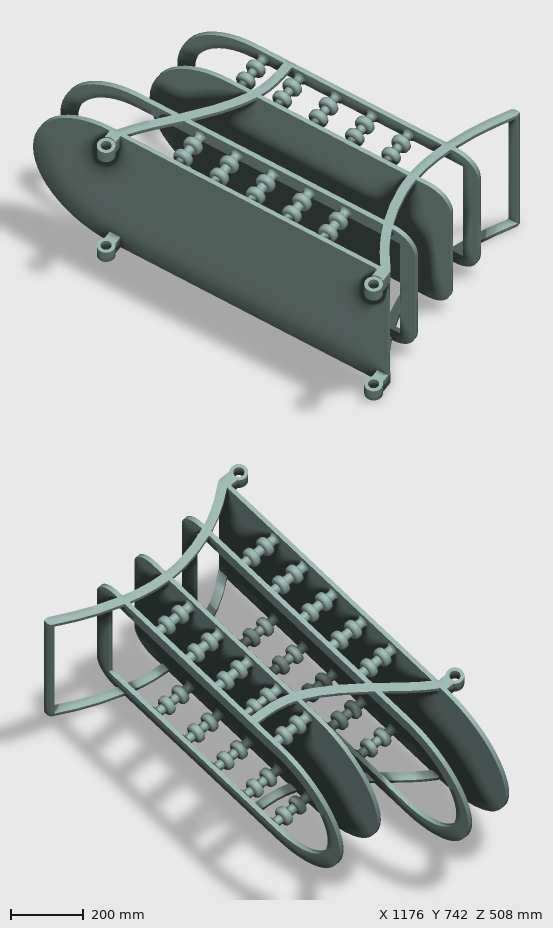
import cadquery as cq
import math

shelf_width = 508.0
nose_radius = shelf_width / 2
mid_z = nose_radius
shelf_end_x = 1167.0
handle_top_y = 742.0

plate_thickness = 13.0
rail_thickness = 14.0
rail_band = 49.0
tail_radius = 75.0
lower_nose_x = 0
upper_nose_x = 178.0
lower_plate_y = 72.0
lower_rail_y = 210.0
upper_plate_y = 389.0
upper_rail_y = 529.0

spindle_count = 5
spindle_first_x = 461.0
spindle_last_x = 938.0
spindle_pitch = (spindle_last_x - spindle_first_x) / (spindle_count - 1)
spindle_edge_inset = 32.0
spindle_length = 128.0
shaft_radius = 14.0
foot_fillet = 10.0
bead_radius = 28.0
bead_height = 26.0
bead_fillet = 9.0
bead_spacing = 50.0

strip_width = 27.0
strip_thickness = 13.0
handle_bar_depth = 13.0
handle_tip_fillet = 14.0
front_leg_path = [(280.0, 80.0), (406.0, 232.0), (507.0, 373.0), (541.0, 535.0)]
rear_leg_path = [
    (1161.0, 73.0),
    (1100.0, 161.0),
    (1068.0, 232.0),
    (1040.0, 388.0),
    (1067.0, 541.0),
    (1110.0, 650.0),
    (1169.0, 762.0),
]
front_leg_tangents = [(0.65, 1), (0, 1)]
rear_leg_tangents = [(-0.8, 1), (0.5, 1)]

stem_width = 35.0
stem_height = 47.0
ring_outer_radius = 26.0
ring_inner_radius = 15.0
ring_recess = 5.0
neck_web = 1.0
caster_xs = (270.0, 1150.0)
stem_bottom_y = 2 * ring_outer_radius + neck_web
stem_top_y = lower_plate_y + plate_thickness
lower_stem_z = (0, stem_height)
upper_stem_z = (shelf_width - stem_height, shelf_width)
lower_ring_z = (ring_recess, stem_height)
upper_ring_z = (shelf_width - stem_height, shelf_width - ring_recess)
caster_z_ranges = [(lower_stem_z, lower_ring_z), (upper_stem_z, upper_ring_z)]


def box(x_range, y_range, z_range):
    """Axis-aligned box from its limits."""
    lows, highs = zip(x_range, y_range, z_range)
    size = [high - low for low, high in zip(lows, highs)]
    return cq.Workplane("XY").box(*size, centered=False).translate(lows)


def nosed_slab(nose_x, end_x, radius, y_range):
    """Slab with a half-round nose at the -X end and a square +X end."""
    y_low, y_high = y_range
    centre_x = nose_x + radius
    outline = (
        cq.Workplane("XZ", origin=(0, y_high, 0))
        .moveTo(end_x, mid_z - radius)
        .lineTo(centre_x, mid_z - radius)
        .threePointArc((nose_x, mid_z), (centre_x, mid_z + radius))
        .lineTo(end_x, mid_z + radius)
        .close()
    )
    return outline.extrude(y_high - y_low)


def plate(nose_x, y_low):
    """Solid shelf plate."""
    return nosed_slab(nose_x, shelf_end_x, nose_radius, (y_low, y_low + plate_thickness))


def round_tail(slab):
    """Round the two corners at the +X end of a slab."""
    return slab.faces(">X").edges("|Y").fillet(tail_radius)


def rail(nose_x, y_low):
    """Rail with rounded tail corners and an opening that leaves a band all round."""
    y_range = (y_low, y_low + rail_thickness)
    slab = round_tail(nosed_slab(nose_x, shelf_end_x, nose_radius, y_range))
    opening = nosed_slab(nose_x + rail_band, shelf_end_x - rail_band, nose_radius - rail_band, y_range)
    return slab.cut(opening)


def spindle():
    """Spindle along Y, centred on the origin, with two beads and flared ends."""
    half = spindle_length / 2
    flare_radius = shaft_radius + foot_fillet
    flare_start = half - foot_fillet
    flare_mid_x = flare_radius - foot_fillet * math.sqrt(0.5)
    flare_mid_y = flare_start + foot_fillet * math.sqrt(0.5)
    body = (
        cq.Workplane("XY")
        .moveTo(0, -half)
        .lineTo(flare_radius, -half)
        .threePointArc((flare_mid_x, -flare_mid_y), (shaft_radius, -flare_start))
        .lineTo(shaft_radius, flare_start)
        .threePointArc((flare_mid_x, flare_mid_y), (flare_radius, half))
        .lineTo(0, half)
        .close()
        .revolve(360, (0, 0, 0), (0, 1, 0))
    )
    for bead_y in (-bead_spacing / 2, bead_spacing / 2):
        bead = cq.Workplane("XZ").circle(bead_radius).extrude(bead_height / 2, both=True)
        body = body.union(bead.edges().fillet(bead_fillet).translate((0, bead_y, 0)))
    return body


def spindle_row(plate_y, rail_y):
    """Both rows of spindles between a plate and its rail, as a list."""
    gap_mid_y = (plate_y + plate_thickness + rail_y) / 2
    return [
        spindle().translate((spindle_first_x + i * spindle_pitch, gap_mid_y, z))
        for i in range(spindle_count)
        for z in (spindle_edge_inset, shelf_width - spindle_edge_inset)
    ]


def curved_strip(path, tangents, y_top):
    """Curved wall over the full shelf width, trimmed to the shelf end and to y_top."""
    centreline = cq.Workplane("XY").spline(path, tangents=tangents)
    start_plane = cq.Plane(origin=(*path[0], 0), xDir=(0, 0, 1), normal=(*tangents[0], 0))
    wall = (
        cq.Workplane(start_plane)
        .center(mid_z, 0)
        .rect(shelf_width, strip_width)
        .sweep(centreline)
    )
    return wall.intersect(box((0, shelf_end_x), (lower_plate_y, y_top), (0, shelf_width)))


def hollow_between_legs(y_top):
    """Space between the two leg strips, up to y_top."""
    return box((0, shelf_end_x), (0, y_top), (strip_thickness, shelf_width - strip_thickness))


def front_legs():
    """Pair of front legs, ending in the upper rail."""
    y_top = upper_rail_y + rail_thickness
    return curved_strip(front_leg_path, front_leg_tangents, y_top).cut(hollow_between_legs(y_top))


def rear_legs():
    """Pair of rear legs, joined at the top by the handle bar."""
    wall = curved_strip(rear_leg_path, rear_leg_tangents, handle_top_y)
    wall = wall.faces(">Y").edges("<X").fillet(handle_tip_fillet)
    return wall.cut(hollow_between_legs(handle_top_y - handle_bar_depth))


def stem_block(x, y_range, z_range):
    """Block as wide as a stem, centred on x."""
    return box((x - stem_width / 2, x + stem_width / 2), y_range, z_range)


def make_frame():
    """Shelves, spindles, legs and stems as one solid."""
    parts = [
        rail(lower_nose_x, lower_rail_y),
        round_tail(plate(upper_nose_x, upper_plate_y)),
        rail(upper_nose_x, upper_rail_y),
        front_legs(),
        rear_legs(),
    ]
    parts += spindle_row(lower_plate_y, lower_rail_y)
    parts += spindle_row(upper_plate_y, upper_rail_y)
    parts += [
        stem_block(x, (stem_bottom_y, stem_top_y), stem_z)
        for x in caster_xs
        for stem_z, _ in caster_z_ranges
    ]
    solids = [part.val() for part in parts]
    return plate(lower_nose_x, lower_plate_y).val().fuse(*solids).clean().Solids()[0]


def z_cylinder(x, radius, z_range):
    """Cylinder along Z on a caster axis."""
    z_low, z_high = z_range
    return cq.Workplane("XY", origin=(x, ring_outer_radius, z_low)).circle(radius).extrude(z_high - z_low)


def make_caster(x, stem_z, ring_z):
    """Ring with its axis along Z, and a neck as high as the stem that cups the ring's +Y side."""
    neck = stem_block(x, (ring_outer_radius, stem_bottom_y), stem_z)
    neck = neck.cut(z_cylinder(x, ring_outer_radius, stem_z))
    ring = z_cylinder(x, ring_outer_radius, ring_z).cut(z_cylinder(x, ring_inner_radius, ring_z))
    return ring.union(neck)


frame = make_frame()
casters = [make_caster(x, stem_z, ring_z) for x in caster_xs for stem_z, ring_z in caster_z_ranges]

result = cq.Compound.makeCompound([frame, *[caster.val() for caster in casters]])